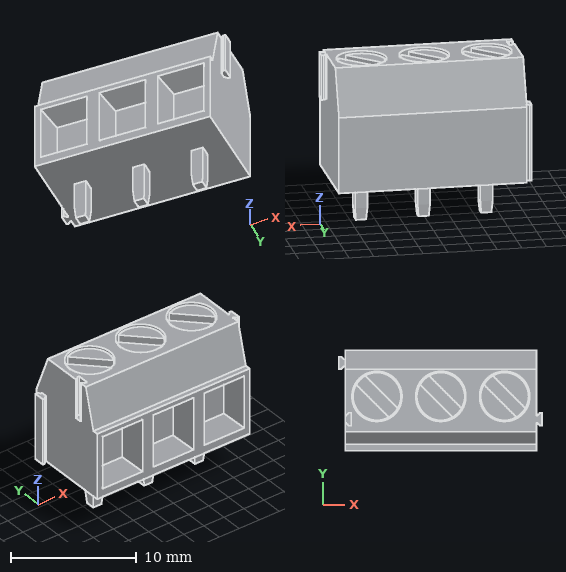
import cadquery as cq
import math


left_rail_reach = 0.5
right_rail_reach = 0.45
rail_width = 1.0
rail_neck_width = 0.58
rail_rim = 0.2
groove_depth = 0.49
left_rail_back_gap = 0.5
groove_center_y = 2.51

poles = 3
overall_length = 16.19
housing_length = overall_length - left_rail_reach - right_rail_reach
housing_depth = 8.0
housing_height = 10.0
shoulder_height = 6.3
ledge_depth = 0.5
top_setback = 1.5
pole_pitch = housing_length / poles

entry_width = 4.0
entry_height = 5.0
entry_bottom = 0.8
entry_depth = 1.99
entry_draft = 15.0

screw_center_y = 4.32
well_diameter = 4.0
well_depth = 3.0
screw_clearance = 0.1
screw_recess = 0.2
screw_slot_width = 1.0
screw_slot_depth = 1.0
screw_slot_angle = -45.0

pin_center_y = 3.74
pin_width = 1.0
pin_length = 3.5
pin_tip_length = 1.0
pin_tip_draft = 5.0

pole_centers = [(index + 0.5) * pole_pitch for index in range(poles)]


def dovetail(face_x, center_y, bottom, top, reach, direction):
    """Vertical bar on the plane X = face_x: a narrow neck that flares at 45 degrees to a wide rim."""
    half_neck = rail_neck_width / 2
    half_rim = rail_width / 2
    flare = half_rim - half_neck
    neck_end = face_x + direction * (reach - rail_rim - flare)
    rim_start = face_x + direction * (reach - rail_rim)
    rim_end = face_x + direction * reach
    side = [(face_x, half_neck), (neck_end, half_neck), (rim_start, half_rim), (rim_end, half_rim)]
    outline = [(x, center_y + half) for x, half in side]
    outline += [(x, center_y - half) for x, half in reversed(side)]
    return cq.Workplane("XY", origin=(0, 0, bottom)).polyline(outline).close().extrude(top - bottom)


def housing_block():
    """Profile of the housing in Y and Z, extended along its whole length."""
    profile = [
        (0, 0),
        (housing_depth, 0),
        (housing_depth, shoulder_height),
        (housing_depth - top_setback, housing_height),
        (top_setback, housing_height),
        (ledge_depth, shoulder_height),
        (0, shoulder_height),
    ]
    return cq.Workplane("YZ").polyline(profile).close().extrude(housing_length)


def wire_entry(center_x):
    """Tapered pocket that narrows from the front face toward its floor."""
    center_z = entry_bottom + entry_height / 2
    return (
        cq.Workplane("XZ", origin=(center_x, 0, center_z))
        .rect(entry_width, entry_height)
        .extrude(-entry_depth, taper=entry_draft)
    )


def screw_well(center_x):
    """Blind round well in the top of the housing."""
    return (
        cq.Workplane("XY", origin=(center_x, screw_center_y, housing_height - well_depth))
        .circle(well_diameter / 2)
        .extrude(well_depth)
    )


def make_housing():
    left_rail_y = housing_depth - left_rail_back_gap - rail_width / 2
    left_rail = dovetail(0, left_rail_y, 0, shoulder_height, left_rail_reach, -1)
    right_rail = dovetail(
        housing_length, groove_center_y, shoulder_height, housing_height, right_rail_reach, 1
    )
    groove = dovetail(0, groove_center_y, shoulder_height, housing_height, groove_depth, 1)

    housing = housing_block().union(left_rail).union(right_rail).cut(groove)
    for center_x in pole_centers:
        housing = housing.cut(wire_entry(center_x)).cut(screw_well(center_x))
    return housing


def make_screw(center_x):
    """Slotted screw standing on the floor of its well, with its head just below the housing top."""
    screw_height = well_depth - screw_recess
    base = cq.Workplane("XY", origin=(center_x, screw_center_y, housing_height - well_depth))
    slot = (
        base.workplane(offset=screw_height - screw_slot_depth)
        .transformed(rotate=(0, 0, screw_slot_angle))
        .rect(well_diameter, screw_slot_width)
        .extrude(screw_slot_depth)
    )
    return base.circle(well_diameter / 2 - screw_clearance).extrude(screw_height).cut(slot)


def make_pin(center_x):
    """Square pin hanging from the underside of the housing, with a tapered tip."""
    shank_length = pin_length - pin_tip_length
    tip_width = pin_width - 2 * pin_tip_length * math.tan(math.radians(pin_tip_draft))
    shank = (
        cq.Workplane("XY", origin=(center_x, pin_center_y, 0))
        .rect(pin_width, pin_width)
        .extrude(-shank_length)
    )
    tip = (
        cq.Workplane("XY", origin=(center_x, pin_center_y, -pin_length))
        .rect(tip_width, tip_width)
        .workplane(offset=pin_tip_length)
        .rect(pin_width, pin_width)
        .loft(ruled=True)
    )
    return shank.union(tip)


housing = make_housing()
screws = [make_screw(center_x).val() for center_x in pole_centers]
pins = [make_pin(center_x).val() for center_x in pole_centers]

result = cq.Compound.makeCompound([housing.val(), *screws, *pins])